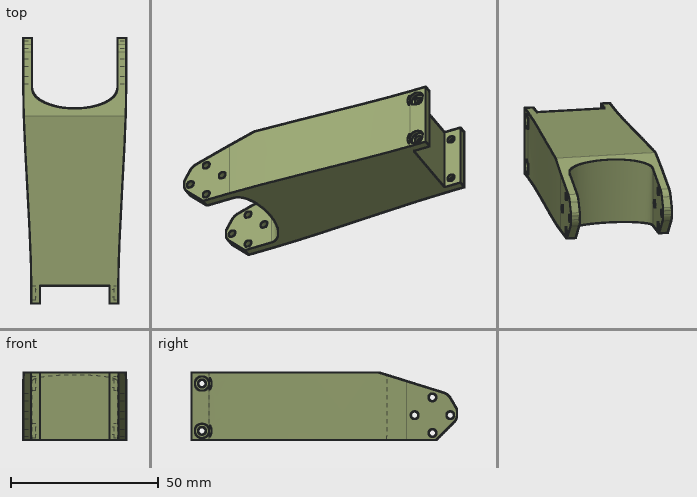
import cadquery as cq

length = 90.1
height = 23.0
fork_width = 35.0
base_width = 29.55
wall = 3.1
taper_start = 6.0
taper_end = 72.9
taper_handle = 0.28 * (taper_end - taper_start)

slope_start = 63.6
shoulder_y = 87.0
shoulder_z = 15.7
shoulder_radius = 4.5
tip_top_z = 10.45
tip_bottom_z = 7.1
tip_top_radius = 2.0
tip_bottom_radius = 3.5
chin_y = 83.0

fork_gap = fork_width - 2 * wall
fork_floor_depth = 6.7
base_gap = base_width - 2 * wall

hole_diameter = 2.5
ear_pattern_y = 81.7
ear_pattern_z = 8.5
ear_pattern_radius = 6.0
base_hole_y = 3.6
base_hole_z = (3.15, 19.2)
counterbore_diameter = 4.9
counterbore_depth = 1.5
spotface_diameter = 6.5


def plan_body():
    """Block with S-shaped flanks that widen from the base to the fork."""
    base_x = base_width / 2
    fork_x = fork_width / 2
    right_flank = [
        (base_x, taper_start),
        (base_x, taper_start + taper_handle),
        (fork_x, taper_end - taper_handle),
        (fork_x, taper_end),
    ]
    left_flank = [(-x, y) for x, y in reversed(right_flank)]
    return (
        cq.Workplane("XY")
        .moveTo(-base_x, 0)
        .lineTo(base_x, 0)
        .lineTo(base_x, taper_start)
        .bezier(right_flank)
        .lineTo(fork_x, length)
        .lineTo(-fork_x, length)
        .lineTo(-fork_x, taper_end)
        .bezier(left_flank)
        .close()
        .extrude(height)
    )


def side_profile():
    """Prism across X with the sloped top and rounded ear tips."""
    outline = [
        (0, 0),
        (chin_y, 0),
        (length, tip_bottom_z),
        (length, tip_top_z),
        (shoulder_y, shoulder_z),
        (slope_start, height),
        (0, height),
    ]
    prism = cq.Workplane("YZ").polyline(outline).close().extrude(fork_width / 2, both=True)

    def round_edge(body, y, z, radius):
        return body.edges(cq.selectors.NearestToPointSelector((0, y, z))).fillet(radius)

    prism = round_edge(prism, shoulder_y, shoulder_z, shoulder_radius)
    prism = round_edge(prism, length, tip_top_z, tip_top_radius)
    return round_edge(prism, length, tip_bottom_z, tip_bottom_radius)


def fork_opening():
    """Slot between the ears, closed by a half ellipse."""
    straight = (
        cq.Workplane("XY")
        .rect(fork_gap, length - taper_end)
        .extrude(height)
        .translate((0, (length + taper_end) / 2, 0))
    )
    floor = cq.Workplane("XY").center(0, taper_end).ellipse(fork_gap / 2, fork_floor_depth).extrude(height)
    return straight.union(floor)


def base_opening():
    """Rectangular notch between the two base lugs."""
    return cq.Workplane("XY").rect(base_gap, 2 * taper_start).extrude(height)


def cross_holes(points, diameter, inner_x=0.0):
    """Cylinders along X at the (y, z) points, outside |X| = inner_x on both sides."""
    depth = fork_width / 2 - inner_x
    right = cq.Workplane("YZ", origin=(inner_x, 0, 0)).pushPoints(points).circle(diameter / 2).extrude(depth)
    return right.union(right.mirror("YZ"))


ear_points = [
    (ear_pattern_y + ear_pattern_radius * dy, ear_pattern_z + ear_pattern_radius * dz)
    for dy, dz in ((1, 0), (0, 1), (-1, 0), (0, -1))
]
base_points = [(base_hole_y, z) for z in base_hole_z]

result = plan_body().intersect(side_profile()).cut(fork_opening()).cut(base_opening())
result = result.cut(cross_holes(ear_points, hole_diameter))
result = result.cut(cross_holes(base_points, hole_diameter))
result = result.cut(cross_holes(base_points, counterbore_diameter, base_width / 2 - counterbore_depth))
result = result.cut(cross_holes(base_points, spotface_diameter, base_width / 2))